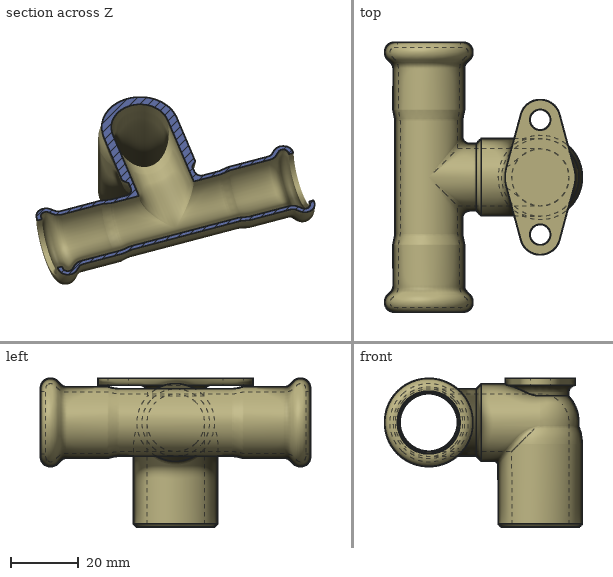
import cadquery as cq
import math

RUN_LENGTH = 80.0
RUN_RADIUS = 10.0
WALL = 1.5
PLAIN_RUN_HALF_LENGTH = 15.0
SOCKET_RADIUS = 10.6
SOCKET_LENGTH = 20.0
TAPER_LENGTH = 3.0
TAPER_SOCKET_BEND = 1.0
TAPER_RUN_BEND = 2.5
BEAD_TUBE_RADIUS = 3.0
BEAD_RADIUS = 13.1
BEAD_NECK_BEND = 2.0
FLANK_ANGLE = math.radians(45)
LIP_RADIUS = 9.3

BRANCH_RADIUS = RUN_RADIUS
BORE_RADIUS = RUN_RADIUS - WALL
COLLAR_RADIUS = 11.5
COLLAR_START = 14.1
COLLAR_CHAMFER = 1.5
CROTCH_FILLET = 2.0

OUTLET_X = 33.0
OUTLET_RADIUS = 12.5
OUTLET_DOME_Z = -6.4
OUTLET_BOTTOM = -31.0
OUTLET_CHAMFER = 1.0
ELBOW_FILLET = 1.0

PLATE_TOP = BEAD_RADIUS
PLATE_THICKNESS = 2.1
PLATE_MIDDLE_RADIUS = 10.4
PLATE_END_RADIUS = 6.0
HOLE_OFFSET = 17.0
HOLE_RADIUS = 3.0
NECK_FLARE = 2.0
NECK_RADIUS = PLATE_MIDDLE_RADIUS - NECK_FLARE

EDGE_TOLERANCE = 0.001


def cylinder_x(radius, start, end):
    return cq.Workplane("YZ").workplane(offset=start).circle(radius).extrude(end - start)


def plain_run(radius):
    return cq.Workplane("XZ").circle(radius).extrude(PLAIN_RUN_HALF_LENGTH, both=True)


def cylinder_z(radius, bottom, top):
    return cq.Workplane("XY", origin=(OUTLET_X, 0, bottom)).circle(radius).extrude(top - bottom)


def ball(radius, z):
    return cq.Workplane("XY").sphere(radius).translate((OUTLET_X, 0, z))


def press_end(inset):
    """Solid of revolution for the +Y end of the run, with its skin moved inward by inset.

    Profile points are (radius, Y).
    """
    end = RUN_LENGTH / 2
    run = RUN_RADIUS - inset
    socket = SOCKET_RADIUS - inset
    taper_outer_y = end - SOCKET_LENGTH
    taper_inner_y = taper_outer_y - TAPER_LENGTH

    tube = BEAD_TUBE_RADIUS - inset
    ring = BEAD_RADIUS - BEAD_TUBE_RADIUS
    ring_y = end - BEAD_TUBE_RADIUS
    sin_flank = math.sin(FLANK_ANGLE)
    cos_flank = math.cos(FLANK_ANGLE)
    flank_top = (ring + tube * cos_flank, ring_y - tube * sin_flank)
    corner_y = flank_top[1] - (flank_top[0] - socket) / math.tan(FLANK_ANGLE)

    bend = BEAD_NECK_BEND + inset
    tangent = bend * math.tan(FLANK_ANGLE / 2)
    bend_end = (socket + tangent * sin_flank, corner_y + tangent * cos_flank)
    bend_start = (socket, corner_y - tangent)
    bend_middle = (
        socket + bend * (1 - math.cos(FLANK_ANGLE / 2)),
        bend_start[1] + bend * math.sin(FLANK_ANGLE / 2),
    )

    solid = (
        cq.Workplane("XY")
        .moveTo(0, PLAIN_RUN_HALF_LENGTH)
        .lineTo(run, PLAIN_RUN_HALF_LENGTH)
        .lineTo(run, taper_inner_y)
        .lineTo(socket, taper_outer_y)
        .lineTo(*bend_start)
        .threePointArc(bend_middle, bend_end)
        .lineTo(*flank_top)
        .threePointArc((ring + tube, ring_y), (ring, ring_y + tube))
        .lineTo(0, ring_y + tube)
        .close()
        .revolve(360, (0, 0, 0), (0, 1, 0))
    )
    solid = round_taper_edge(solid, taper_inner_y, TAPER_RUN_BEND + inset)
    return round_taper_edge(solid, taper_outer_y, TAPER_SOCKET_BEND)


def round_taper_edge(solid, y, radius):
    """Round the circular edge that lies in the plane at the given Y."""
    reach = BEAD_RADIUS
    slab = cq.selectors.BoxSelector(
        (-reach, y - EDGE_TOLERANCE, -reach), (reach, y + EDGE_TOLERANCE, reach), boundingbox=True
    )
    return solid.edges("%CIRCLE").edges(slab).fillet(radius)


def both_ends(end_solid):
    return end_solid.union(end_solid.mirror("XZ"))


def tee():
    run = plain_run(RUN_RADIUS)
    body = run.union(cylinder_x(BRANCH_RADIUS, 0, COLLAR_START))
    crotch = cq.selectors.BoxSelector(
        (-EDGE_TOLERANCE, -COLLAR_RADIUS, -COLLAR_RADIUS), (COLLAR_RADIUS, COLLAR_RADIUS, COLLAR_RADIUS)
    )
    body = body.edges(crotch).fillet(CROTCH_FILLET)
    return body.union(both_ends(press_end(0)))


def elbow():
    collar = cylinder_x(COLLAR_RADIUS, COLLAR_START, OUTLET_X)
    collar = collar.faces("<X").chamfer(COLLAR_CHAMFER)
    collar = collar.union(ball(COLLAR_RADIUS, 0))

    outlet = cylinder_z(OUTLET_RADIUS, OUTLET_BOTTOM, OUTLET_DOME_Z)
    outlet = outlet.faces("<Z").chamfer(OUTLET_CHAMFER)
    outlet = outlet.union(ball(OUTLET_RADIUS, OUTLET_DOME_Z))

    body = collar.union(outlet)
    return body.newObject(elbow_crease(body)).fillet(ELBOW_FILLET)


def elbow_crease(body):
    """Edges where the horizontal collar and its ball end meet the domed outlet."""
    meeting_z = (OUTLET_RADIUS**2 - COLLAR_RADIUS**2 - OUTLET_DOME_Z**2) / (-2 * OUTLET_DOME_Z)
    level_circle = cq.selectors.BoxSelector(
        (OUTLET_X, -COLLAR_RADIUS, meeting_z - EDGE_TOLERANCE),
        (OUTLET_X + COLLAR_RADIUS, COLLAR_RADIUS, meeting_z + EDGE_TOLERANCE),
        boundingbox=True,
    )
    return body.edges("%BSPLINE").vals() + body.edges(level_circle).vals()


def mounting_plate():
    bottom = PLATE_TOP - PLATE_THICKNESS
    tilt = math.asin((PLATE_MIDDLE_RADIUS - PLATE_END_RADIUS) / HOLE_OFFSET)
    cos_tilt = math.cos(tilt)
    sin_tilt = math.sin(tilt)
    middle = (PLATE_MIDDLE_RADIUS * cos_tilt, PLATE_MIDDLE_RADIUS * sin_tilt)
    end = (PLATE_END_RADIUS * cos_tilt, HOLE_OFFSET + PLATE_END_RADIUS * sin_tilt)
    tip = (0, HOLE_OFFSET + PLATE_END_RADIUS)
    plate = (
        cq.Workplane("XY", origin=(OUTLET_X, 0, bottom))
        .moveTo(middle[0], -middle[1])
        .threePointArc((PLATE_MIDDLE_RADIUS, 0), middle)
        .lineTo(*end)
        .threePointArc(tip, (-end[0], end[1]))
        .lineTo(-middle[0], middle[1])
        .threePointArc((-PLATE_MIDDLE_RADIUS, 0), (-middle[0], -middle[1]))
        .lineTo(-end[0], -end[1])
        .threePointArc((0, -tip[1]), (end[0], -end[1]))
        .close()
        .extrude(PLATE_THICKNESS)
    )
    holes = (
        cq.Workplane("XY", origin=(OUTLET_X, 0, bottom))
        .pushPoints([(0, -HOLE_OFFSET), (0, HOLE_OFFSET)])
        .circle(HOLE_RADIUS)
        .extrude(PLATE_THICKNESS)
    )
    return plate.cut(holes)


def flared_neck():
    """Round neck between elbow and plate, flaring out under the plate."""
    top = PLATE_TOP - PLATE_THICKNESS
    flare_start = top - NECK_FLARE
    centre_to_middle = NECK_FLARE * math.sqrt(0.5)
    flare_middle = (NECK_RADIUS + NECK_FLARE - centre_to_middle, flare_start + centre_to_middle)
    return (
        cq.Workplane("XZ")
        .lineTo(NECK_RADIUS, 0)
        .lineTo(NECK_RADIUS, flare_start)
        .threePointArc(flare_middle, (NECK_RADIUS + NECK_FLARE, top))
        .lineTo(0, top)
        .close()
        .revolve(360, (0, 0, 0), (0, 1, 0))
        .translate((OUTLET_X, 0, 0))
    )


def passages():
    """Everything hollow: the run with its bead grooves, the branch and the outlet."""
    mouth = cq.Workplane("XZ", origin=(0, RUN_LENGTH / 2, 0)).circle(LIP_RADIUS).extrude(BEAD_TUBE_RADIUS)
    run = plain_run(BORE_RADIUS).union(both_ends(press_end(WALL).union(mouth)))
    branch = cylinder_x(BORE_RADIUS, 0, OUTLET_X)
    outlet = cylinder_z(BORE_RADIUS, OUTLET_BOTTOM, 0)
    return run.union(branch).union(ball(BORE_RADIUS, 0)).union(outlet)


body = elbow().union(flared_neck()).union(mounting_plate()).union(tee())
result = body.cut(passages())